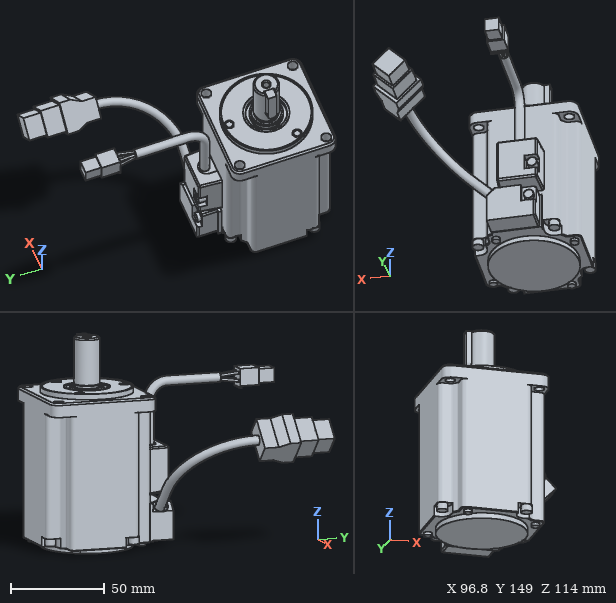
import cadquery as cq
import math


overall_length = 149.0
margin = 1.5

flange_width = 59.9
flange_height = 7.6
flange_corner_radius = 5.0
flange_chamfer = 1.0
mount_hole_offset = 24.9
mount_hole_diameter = 5.5
pilot_height = 3.0
pilot_radius = 25.0
pilot_rim_width = 0.9
pilot_rim_depth = 0.1
face_screw_circle_radius = 21.3
face_screw_count = 3
face_screw_bore_radius = 2.5
face_screw_head_radius = 2.0
face_screw_bore_depth = 1.5

seal_seat_radius = 12.5
seal_seat_depth = 0.5
seal_groove_outer_radius = 11.2
seal_groove_inner_radius = 9.1
seal_groove_depth = 2.2
seal_bore_radius = 8.0
seal_bore_depth = 0.7

shaft_radius = 7.0
shaft_top = 30.0
shaft_chamfer = 0.9
shaft_neck_radius = 6.4
shaft_neck_top = 3.9
center_hole_radius = 1.8
center_hole_mouth_radius = 2.5
center_hole_depth = 9.0
key_width = 5.0
key_length = 20.0
key_outer_reach = 9.2
keyway_floor = 3.9
keyway_width = 5.8

half_width = flange_width / 2
body_bottom = -81.0
body_bottom_chamfer = 0.5
face_half_width = 19.7
face_edge_radius = 2.8
notch_chamfer = 2.8
notch_fillet_radius = 1.6
end_disc_radius = 24.7
overall_bottom = -84.0

pocket_top = -75.5
pocket_inner_edge = 11.8
pocket_outer_edge = 20.4
pocket_depth = 7.9
pocket_fillet_radius = 5.0
pocket_screw_radius = 3.0
pocket_screw_center = 17.1
pocket_screw_overhang = 0.07
pocket_screw_bottom = -79.4
foot_screw_radius = 2.2
foot_screw_height = 1.6
foot_screw_across = 15.2
foot_screw_out = 25.6

power_box_top = -30.5
power_box_bottom_outer = -55.3
power_box_bottom_base = -56.6
power_box_outer_y = 43.2
power_box_base_half_width = 12.0
power_box_outer_half_width = 11.0
power_box_chamfer = 0.9
cable_seat_half_width = 4.8
cable_seat_end_y = 39.0
cable_seat_depth = 0.1
encoder_box_top = -60.3
encoder_box_bottom = -80.5
encoder_box_outer_y = 43.5
encoder_box_left = -10.1
encoder_box_right = 16.5
encoder_box_chamfer = 0.9
encoder_plate_outer_y = 31.9
encoder_plate_left = -11.2
encoder_corner_cut = 4.5
cable_entry_radius = 4.2
cable_entry_depth = 2.2
box_screw_radius = 2.7
box_screw_top_y = 42.9
power_box_screw_x = -8.2
power_box_screw_z = -45.7
power_box_recess_floor_y = 38.3
encoder_box_screw_x = -6.4
encoder_box_screw_z = -66.3
encoder_box_recess_floor_y = 40.7
box_screw_recess_clearance = 1.5
box_embed = 1.5

cable_radius = 2.7
power_cable_y = 35.5
power_cable_z = 3.1
power_bend_radius = 10.3
power_cable_end_y = 75.5
wire_radius = 0.7
wire_inner_pitch = 1.8
wire_outer_pitch = 4.6
power_plug_back_y = 85.6
power_plug_step_y = 96.5
power_plug_tip_y = 105.5
power_plug_width = 9.5
power_plug_tip_width = 7.7
power_plug_lip_length = 0.9
power_plug_lip_drop = 1.0

encoder_cable_y = 37.1
encoder_plug_x = 53.6
encoder_plug_z = -22.2
encoder_bend_radius = 41.4
encoder_cable_straight = 17.9
encoder_plug_back_y = 78.3
encoder_plug_taper_start_y = 86.2
encoder_plug_taper_end_y = 92.2
encoder_plug_shoulder_y = 98.3
encoder_plug_middle_y = 109.0
encoder_plug_tip_y = overall_length - half_width - pocket_screw_overhang
encoder_plug_width = 19.2
encoder_plug_height = 18.0
encoder_plug_back_height = 12.2
encoder_plug_middle_width = 15.2
encoder_plug_tip_width = 12.8
plug_overlap = 0.7


def block(x0, x1, y0, y1, z0, z1):
    """Box between two opposite corners."""
    return cq.Workplane("XY").box(x1 - x0, y1 - y0, z1 - z0, centered=False).translate((x0, y0, z0))


def cylinder(radius, z0, z1, x=0, y=0):
    """Upright cylinder between two heights."""
    return cq.Workplane("XY", origin=(x, y, z0)).circle(radius).extrude(z1 - z0)


def ring(outer_radius, inner_radius, z0, z1):
    """Upright ring between two heights."""
    return cq.Workplane("XY", origin=(0, 0, z0)).circle(outer_radius).circle(inner_radius).extrude(z1 - z0)


def quarter_turns(feature):
    """The four copies of a feature at 90 degree steps about the motor axis."""
    return [feature.rotate((0, 0, 0), (0, 0, 1), 90 * turn) for turn in range(4)]


def make_flange():
    flange = block(-half_width, half_width, -half_width, half_width, -flange_height, 0)
    flange = flange.edges("|Z").fillet(flange_corner_radius).faces(">Z").edges().chamfer(flange_chamfer)
    mount_hole = cylinder(mount_hole_diameter / 2, -flange_height, 0, mount_hole_offset, mount_hole_offset)
    for hole in quarter_turns(mount_hole):
        flange = flange.cut(hole)
    return flange


def make_pilot():
    pilot = cylinder(pilot_radius, -flange_height, pilot_height)
    rim_inner_radius = pilot_radius - pilot_rim_width
    face = pilot_height - pilot_rim_depth
    pilot = pilot.cut(ring(rim_inner_radius, seal_seat_radius, face, pilot_height))
    pilot = pilot.cut(
        ring(seal_seat_radius, seal_groove_outer_radius, pilot_height - seal_seat_depth, pilot_height)
    )
    groove_floor = pilot_height - seal_groove_depth
    pilot = pilot.cut(ring(seal_groove_outer_radius, seal_groove_inner_radius, groove_floor, pilot_height))
    pilot = pilot.cut(cylinder(seal_bore_radius, pilot_height - seal_bore_depth, pilot_height))
    for index in range(face_screw_count):
        angle = math.radians(90 + 360 / face_screw_count * index)
        x = face_screw_circle_radius * math.cos(angle)
        y = face_screw_circle_radius * math.sin(angle)
        pilot = pilot.cut(cylinder(face_screw_bore_radius, face - face_screw_bore_depth, pilot_height, x, y))
        pilot = pilot.union(cylinder(face_screw_head_radius, face - face_screw_bore_depth, face, x, y))
    return pilot


def make_key_shape(width, inner_x, bottom):
    """Flat bar along Z on the -X side of the shaft with a round lower end."""
    radius = width / 2
    bar = block(-key_outer_reach, inner_x, -radius, radius, bottom + radius, shaft_top)
    round_end = (
        cq.Workplane("YZ", origin=(-key_outer_reach, 0, bottom + radius))
        .circle(radius)
        .extrude(key_outer_reach + inner_x)
    )
    return bar.union(round_end)


def make_shaft():
    full_start = shaft_neck_top + shaft_radius - shaft_neck_radius
    shaft = (
        cq.Workplane("XZ")
        .moveTo(0, 0)
        .lineTo(shaft_neck_radius, 0)
        .lineTo(shaft_neck_radius, shaft_neck_top)
        .lineTo(shaft_radius, full_start)
        .lineTo(shaft_radius, shaft_top - shaft_chamfer)
        .lineTo(shaft_radius - shaft_chamfer, shaft_top)
        .lineTo(center_hole_mouth_radius, shaft_top)
        .lineTo(center_hole_radius, shaft_top - center_hole_mouth_radius + center_hole_radius)
        .lineTo(center_hole_radius, shaft_top - center_hole_depth)
        .lineTo(0, shaft_top - center_hole_depth)
        .close()
        .revolve(360, (0, 0, 0), (0, 1, 0))
    )
    side_gap = (keyway_width - key_width) / 2
    return shaft.cut(make_key_shape(keyway_width, -keyway_floor, shaft_top - key_length - side_gap))


def make_corner_notch():
    """Material removed at the (+X, +Y) corner of the body over its whole height."""
    height = -flange_height - body_bottom
    edge = half_width - face_edge_radius
    outside = half_width + margin
    inner = face_half_width
    notch = (
        cq.Workplane("XY", origin=(0, 0, body_bottom))
        .moveTo(outside, inner - face_edge_radius)
        .lineTo(half_width, inner - face_edge_radius)
        .radiusArc((edge, inner), -face_edge_radius)
        .lineTo(inner + notch_chamfer, inner)
        .lineTo(inner, inner + notch_chamfer)
        .lineTo(inner, edge)
        .radiusArc((inner - face_edge_radius, half_width), -face_edge_radius)
        .lineTo(inner - face_edge_radius, outside)
        .lineTo(outside, outside)
        .close()
        .extrude(height)
    )
    chamfer_ends = cq.selectors.BoxSelector(
        (inner - margin, inner - margin, body_bottom - margin),
        (inner + notch_chamfer + margin, inner + notch_chamfer + margin, 0),
    )
    return notch.edges("|Z").edges(chamfer_ends).fillet(notch_fillet_radius)


def make_body():
    body = block(-half_width, half_width, -half_width, half_width, body_bottom, -flange_height)
    for notch in quarter_turns(make_corner_notch()):
        body = body.cut(notch)
    body = body.faces("<Z").edges().chamfer(body_bottom_chamfer)

    pocket = block(
        pocket_inner_edge, pocket_outer_edge, -half_width - margin, pocket_depth - half_width,
        body_bottom, pocket_top,
    )
    pocket = pocket.edges("|Z and <X and >Y").fillet(pocket_fillet_radius)
    screw_y = pocket_screw_radius - pocket_screw_overhang - half_width
    pocket_screw = cylinder(pocket_screw_radius, pocket_screw_bottom, pocket_top, pocket_screw_center, screw_y)
    foot_screw = cylinder(
        foot_screw_radius, body_bottom - foot_screw_height, body_bottom, -foot_screw_across, -foot_screw_out
    )
    for pocket_copy in quarter_turns(pocket):
        body = body.cut(pocket_copy)
    for screw in quarter_turns(pocket_screw) + quarter_turns(foot_screw):
        body = body.union(screw)
    return body.union(cylinder(end_disc_radius, overall_bottom, body_bottom))


def add_box_screw(box, x, z, left, outer_y, recess_floor_y, recess_top):
    """Cut a side recess open to -X and +Y, and put a screw head with its axis along Y into it."""
    reach = box_screw_radius + box_screw_recess_clearance
    box = box.cut(block(left - margin, x + reach, recess_floor_y, outer_y + margin, z - reach, recess_top))
    head = (
        cq.Workplane("XZ", origin=(x, box_screw_top_y, z))
        .circle(box_screw_radius)
        .extrude(box_screw_top_y - recess_floor_y)
    )
    return box.union(head)


def make_power_box():
    base_y = half_width - box_embed
    plan = (
        cq.Workplane("XY", origin=(0, 0, power_box_bottom_base))
        .polyline([
            (-power_box_base_half_width, base_y),
            (power_box_base_half_width, base_y),
            (power_box_base_half_width, half_width),
            (power_box_outer_half_width, power_box_outer_y),
            (-power_box_outer_half_width, power_box_outer_y),
            (-power_box_base_half_width, half_width),
        ])
        .close()
        .extrude(power_box_top - power_box_bottom_base)
    )
    underside = (
        cq.Workplane("YZ", origin=(-power_box_base_half_width, 0, 0))
        .polyline([
            (base_y, power_box_bottom_base),
            (power_box_outer_y, power_box_bottom_outer),
            (power_box_outer_y, power_box_top),
            (base_y, power_box_top),
        ])
        .close()
        .extrude(2 * power_box_base_half_width)
    )
    box = plan.intersect(underside).faces(">Y or >Z or <Z").edges().chamfer(power_box_chamfer)
    seat_center_y = cable_seat_end_y - cable_seat_half_width
    seat = block(
        -cable_seat_half_width, cable_seat_half_width, half_width, seat_center_y,
        power_box_top - cable_seat_depth, power_box_top,
    )
    seat = seat.union(
        cylinder(cable_seat_half_width, power_box_top - cable_seat_depth, power_box_top, 0, seat_center_y)
    )
    box = box.cut(seat)
    return add_box_screw(
        box, x=power_box_screw_x, z=power_box_screw_z, left=-power_box_base_half_width,
        outer_y=power_box_outer_y, recess_floor_y=power_box_recess_floor_y,
        recess_top=power_box_screw_z + box_screw_radius + box_screw_recess_clearance,
    )


def make_encoder_box():
    box = block(
        encoder_box_left, encoder_box_right, half_width - box_embed, encoder_box_outer_y,
        encoder_box_bottom, encoder_box_top,
    )
    box = box.edges(">X and >Z").chamfer(encoder_corner_cut)
    box = box.cut(make_cable_entry())
    box = box.faces("<X").edges().chamfer(encoder_box_chamfer)
    plate = block(
        encoder_plate_left, encoder_box_right, half_width - box_embed, encoder_plate_outer_y,
        body_bottom, encoder_box_top,
    )
    return add_box_screw(
        box.union(plate), x=encoder_box_screw_x, z=encoder_box_screw_z, left=encoder_box_left,
        outer_y=encoder_box_outer_y, recess_floor_y=encoder_box_recess_floor_y,
        recess_top=encoder_box_top + margin,
    )


def make_cable_entry():
    """Round recess around the encoder cable, square to the cut-off corner of the encoder box."""
    corner_sum = encoder_box_right + encoder_box_top - encoder_corner_cut
    cable_difference = encoder_plug_x - encoder_plug_z
    center = ((corner_sum + cable_difference) / 2, encoder_cable_y, (corner_sum - cable_difference) / 2)
    corner_plane = cq.Plane(center, xDir=(0, 1, 0), normal=(1, 0, 1))
    return cq.Workplane(corner_plane).circle(cable_entry_radius).extrude(-cable_entry_depth)


def make_power_cable():
    """Cable that rises out of the power box, bends towards +Y and ends in four wires and a plug."""
    bend_end_y = power_cable_y + power_bend_radius
    path = (
        cq.Workplane("YZ")
        .moveTo(power_cable_y, power_box_top - box_embed)
        .lineTo(power_cable_y, power_cable_z - power_bend_radius)
        .radiusArc((bend_end_y, power_cable_z), power_bend_radius)
        .lineTo(power_cable_end_y, power_cable_z)
    )
    start = cq.Workplane("XY", origin=(0, power_cable_y, power_box_top - box_embed))
    cable = start.circle(cable_radius).sweep(path)
    for side_x in (-0.5, 0.5):
        for side_z in (-0.5, 0.5):
            cable = cable.union(make_wire(side_x, side_z))
    return cable.union(make_power_plug())


def make_wire(side_x, side_z):
    """Thin wire that spreads from the cable end to the back of the plug."""
    start = cq.Vector(
        side_x * wire_inner_pitch, power_cable_end_y - plug_overlap, power_cable_z + side_z * wire_inner_pitch
    )
    end = cq.Vector(
        side_x * wire_outer_pitch, power_plug_back_y + plug_overlap, power_cable_z + side_z * wire_outer_pitch
    )
    run = end - start
    return cq.Workplane(cq.Plane(start, normal=run)).circle(wire_radius).extrude(run.Length)


def make_power_plug():
    half = power_plug_width / 2
    tip = power_plug_tip_width / 2
    low = power_cable_z - half
    plug = block(-half, half, power_plug_back_y, power_plug_step_y, low, power_cable_z + half)
    plug = plug.union(
        block(-tip, tip, power_plug_step_y, power_plug_tip_y, power_cable_z - tip, power_cable_z + tip)
    )
    lip_end_y = power_plug_back_y + power_plug_lip_length
    return plug.union(block(-half, half, power_plug_back_y, lip_end_y, low - power_plug_lip_drop, low))


def make_encoder_cable():
    """Cable and plug, built level with the plug axis on x = z = 0, then tilted and moved into place."""
    bend_start_x = -encoder_bend_radius
    start_x = bend_start_x - encoder_cable_straight
    path = (
        cq.Workplane("XY")
        .moveTo(start_x, encoder_cable_y)
        .lineTo(bend_start_x, encoder_cable_y)
        .radiusArc((0, encoder_cable_y + encoder_bend_radius), -encoder_bend_radius)
        .lineTo(0, encoder_plug_back_y + plug_overlap)
    )
    cable = cq.Workplane("YZ", origin=(start_x, encoder_cable_y, 0)).circle(cable_radius).sweep(path)
    cable = cable.union(make_encoder_plug())
    return cable.rotate((0, 0, 0), (0, 1, 0), -45).translate((encoder_plug_x, 0, encoder_plug_z))


def make_encoder_plug():
    half = encoder_plug_height / 2
    back = encoder_plug_back_height / 2
    plug = (
        cq.Workplane("XY", origin=(0, 0, -encoder_plug_width / 2))
        .polyline([
            (-back, encoder_plug_back_y),
            (back, encoder_plug_back_y),
            (back, encoder_plug_taper_start_y),
            (half, encoder_plug_taper_end_y),
            (half, encoder_plug_shoulder_y),
            (-half, encoder_plug_shoulder_y),
            (-half, encoder_plug_taper_end_y),
            (-back, encoder_plug_taper_start_y),
        ])
        .close()
        .extrude(encoder_plug_width)
    )
    middle = encoder_plug_middle_width / 2
    tip = encoder_plug_tip_width / 2
    plug = plug.union(block(-middle, middle, encoder_plug_shoulder_y, encoder_plug_middle_y, -middle, middle))
    return plug.union(block(-tip, tip, encoder_plug_middle_y, encoder_plug_tip_y, -tip, tip))


def make_motor():
    motor = make_flange().union(make_pilot()).union(make_shaft()).union(make_body())
    motor = motor.union(make_power_box()).union(make_encoder_box())
    return motor.union(make_power_cable()).union(make_encoder_cable())


motor = make_motor()
key = make_key_shape(key_width, -keyway_floor, shaft_top - key_length)
result = cq.Compound.makeCompound([motor.solids().val(), key.solids().val()])